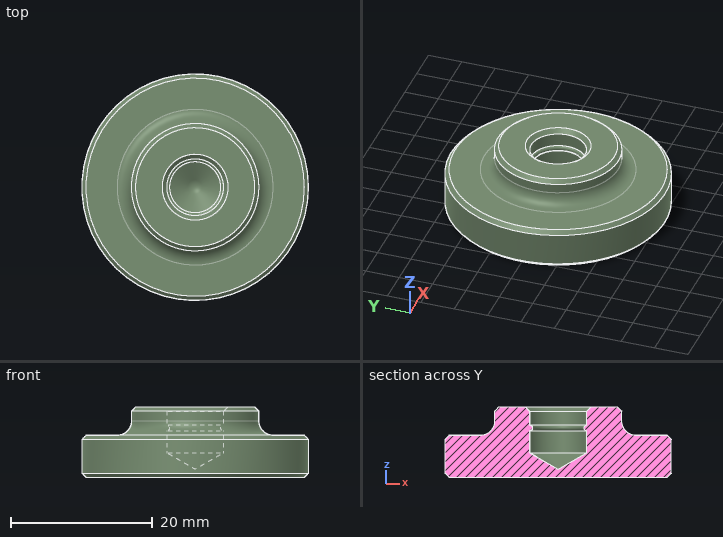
import cadquery as cq
import math

flange_radius = 16.0
flange_height = 6.0
boss_radius = 9.0
total_height = 10.0
edge_chamfer = 0.6
boss_root_radius = 2.0

hole_radius = 4.0
hole_chamfer = 0.65
hole_depth = 6.5
drill_tip_angle = 120.0

bead_radius = 0.4
bead_centre_depth = 3.0


def make_body():
    """Revolve the flange and boss with chamfered rims and a rounded boss root."""
    root_arc_middle = boss_root_radius * (1 - math.sqrt(0.5))
    return (
        cq.Workplane("XZ")
        .moveTo(0, 0)
        .lineTo(flange_radius - edge_chamfer, 0)
        .lineTo(flange_radius, edge_chamfer)
        .lineTo(flange_radius, flange_height - edge_chamfer)
        .lineTo(flange_radius - edge_chamfer, flange_height)
        .lineTo(boss_radius + boss_root_radius, flange_height)
        .threePointArc(
            (boss_radius + root_arc_middle, flange_height + root_arc_middle),
            (boss_radius, flange_height + boss_root_radius),
        )
        .lineTo(boss_radius, total_height - edge_chamfer)
        .lineTo(boss_radius - edge_chamfer, total_height)
        .lineTo(0, total_height)
        .close()
        .revolve(360, (0, 0, 0), (0, 1, 0))
    )


def make_hole():
    """Revolve the hole: chamfered mouth, straight wall with a bead, and conical drill tip."""
    wall_end_z = total_height - hole_depth
    tip_z = wall_end_z - hole_radius / math.tan(math.radians(drill_tip_angle / 2))
    bead_z = total_height - bead_centre_depth
    return (
        cq.Workplane("XZ")
        .moveTo(0, tip_z)
        .lineTo(hole_radius, wall_end_z)
        .lineTo(hole_radius, bead_z - bead_radius)
        .threePointArc(
            (hole_radius - bead_radius, bead_z),
            (hole_radius, bead_z + bead_radius),
        )
        .lineTo(hole_radius, total_height - hole_chamfer)
        .lineTo(hole_radius + hole_chamfer, total_height)
        .lineTo(0, total_height)
        .close()
        .revolve(360, (0, 0, 0), (0, 1, 0))
    )


result = make_body().cut(make_hole())